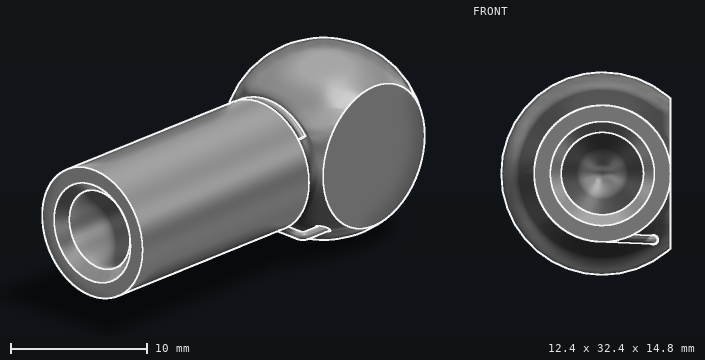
import cadquery as cq
import math

total_length = 32.35
ball_diameter = 14.8
flat_x = 4.98
shank_diameter = 10.0

bore_diameter = 6.0
bore_depth = 11.95
bore_mouth_diameter = 7.6
drill_point_angle = 118.0

groove_y = -6.3
groove_radius = 0.7
groove_floor_radius = 4.35
neck_radius = 4.62

wire_diameter = 0.6
clip_hole_diameter = 0.7
clip_start_angle = 39.0
clip_tail_slope = 2.4
clip_tail_x = 3.72
clip_bend_radius = 0.4
clip_leg_end_y = -2.6

ball_radius = ball_diameter / 2
shank_radius = shank_diameter / 2
bore_radius = bore_diameter / 2
bore_mouth_radius = bore_mouth_diameter / 2
shank_end_y = ball_radius - total_length
groove_center_radius = groove_floor_radius + groove_radius
clip_radius = groove_floor_radius + wire_diameter / 2
tail_slope = math.radians(clip_tail_slope)
tangent_angle = -math.pi / 2 - tail_slope
tangent_x = clip_radius * math.cos(tangent_angle)
tangent_z = clip_radius * math.sin(tangent_angle)


def ring_point(angle):
    """Point on the clip's ring centreline, angle measured from +X towards +Z."""
    return cq.Vector(clip_radius * math.cos(angle), groove_y, clip_radius * math.sin(angle))


def tail_point(x):
    """Point on the straight tail, which leaves the ring tangentially."""
    return cq.Vector(x, groove_y, tangent_z - (x - tangent_x) * math.tan(tail_slope))


def make_bore():
    """Blind bore with a 45 degree mouth and a conical bottom."""
    mouth_depth = bore_mouth_radius - bore_radius
    point_depth = bore_radius / math.tan(math.radians(drill_point_angle / 2))
    return (
        cq.Workplane("XY")
        .moveTo(0, shank_end_y)
        .lineTo(bore_mouth_radius, shank_end_y)
        .lineTo(bore_radius, shank_end_y + mouth_depth)
        .lineTo(bore_radius, shank_end_y + bore_depth)
        .lineTo(0, shank_end_y + bore_depth + point_depth)
        .close()
        .revolve(360, (0, 0, 0), (0, 1, 0))
    )


def make_groove():
    """Round-bottomed ring groove at the neck."""
    return (
        cq.Workplane("XY")
        .center(groove_center_radius, groove_y)
        .circle(groove_radius)
        .revolve(360, (-groove_center_radius, 0, 0), (-groove_center_radius, 1, 0))
    )


def make_clip_hole():
    """Hole in the ball that takes the bent leg of the clip."""
    center_z = tail_point(clip_tail_x).z
    hole_length = clip_leg_end_y - groove_y
    hole_start = (clip_tail_x, groove_y, center_z)
    hole_plane = cq.Plane(origin=hole_start, xDir=(1, 0, 0), normal=(0, 1, 0))
    return cq.Workplane(hole_plane).circle(clip_hole_diameter / 2).extrude(hole_length)


def make_socket():
    """Ball with one flat side and a tubular shank."""
    ball = cq.Workplane("XY").sphere(ball_radius)
    flat_plane = cq.Workplane("YZ", origin=(flat_x, 0, 0))
    beyond_flat = flat_plane.rect(ball_diameter, ball_diameter).extrude(ball_radius)
    shank_length = groove_y - shank_end_y
    shank = cq.Workplane("XZ", origin=(0, groove_y, 0)).circle(shank_radius).extrude(shank_length)
    neck = cq.Workplane("XZ").circle(neck_radius).extrude(-groove_y)
    body = ball.cut(beyond_flat).union(neck).union(shank)
    return body.cut(make_groove()).cut(make_bore()).cut(make_clip_hole())


def make_clip():
    """Wire ring with a straight tail bent into the ball."""
    start_angle = math.radians(clip_start_angle)
    start = ring_point(start_angle)
    ring_middle = ring_point((start_angle + tangent_angle + 2 * math.pi) / 2)
    tangent = ring_point(tangent_angle)
    corner = tail_point(clip_tail_x)
    tail_direction = (corner - tangent).normalized()
    leg_direction = cq.Vector(0, 1, 0)
    bend_start = corner - tail_direction * clip_bend_radius
    bend_end = corner + leg_direction * clip_bend_radius
    bend_center = bend_start + leg_direction * clip_bend_radius
    bend_middle = bend_center + (corner - bend_center).normalized() * clip_bend_radius
    leg_end = cq.Vector(corner.x, clip_leg_end_y, corner.z)
    path = cq.Wire.assembleEdges([
        cq.Edge.makeThreePointArc(start, ring_middle, tangent),
        cq.Edge.makeLine(tangent, bend_start),
        cq.Edge.makeThreePointArc(bend_start, bend_middle, bend_end),
        cq.Edge.makeLine(bend_end, leg_end),
    ])
    start_direction = cq.Vector(-math.sin(start_angle), 0, math.cos(start_angle))
    start_plane = cq.Plane(origin=start, xDir=(0, 1, 0), normal=start_direction)
    return cq.Workplane(start_plane).circle(wire_diameter / 2).sweep(cq.Workplane(obj=path))


socket = make_socket()
clip = make_clip()
result = cq.Compound.makeCompound([socket.val(), clip.val()])